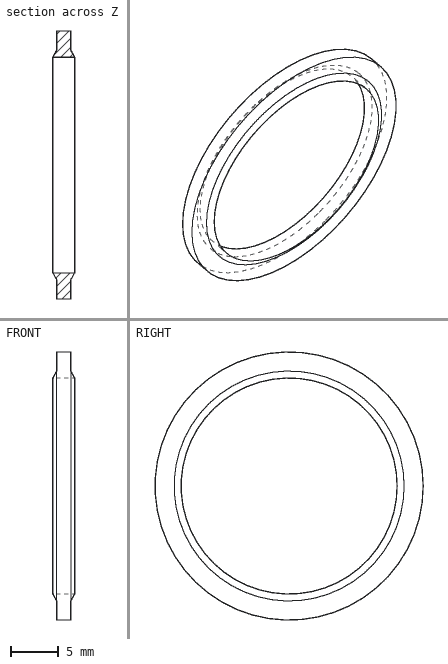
import cadquery as cq

outer_diameter = 28
bore_diameter = 22.5
lip_base_diameter = 24.0
flange_thickness = 1.5
overall_width = 2.3

outer_radius = outer_diameter / 2
bore_radius = bore_diameter / 2
lip_base_radius = lip_base_diameter / 2
half_flange = flange_thickness / 2
half_width = overall_width / 2

section = (
    cq.Workplane("XY")
    .moveTo(-half_width, bore_radius)
    .lineTo(half_width, bore_radius)
    .lineTo(half_flange, lip_base_radius)
    .lineTo(half_flange, outer_radius)
    .lineTo(-half_flange, outer_radius)
    .lineTo(-half_flange, lip_base_radius)
    .close()
)

result = section.revolve(360, (0, 0, 0), (1, 0, 0))